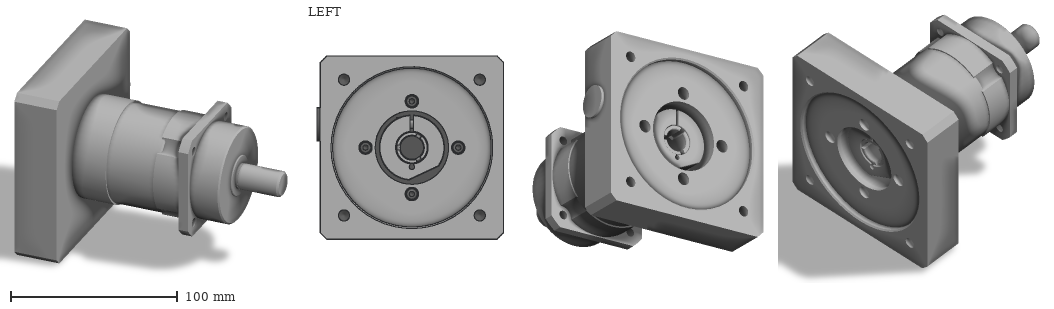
import cadquery as cq
import math


plate_thickness = 27.6
rear_band_end = 49.6
body_end = 83.0
front_ring_start = 80.6
flange_start = 97.5
flange_end = 103.8
pilot_end = 122.8
seal_end = 123.7
shaft_collar_end = 125.1
shaft_start = 125.7
shaft_end = 151.8

band_diameter = 63.9
body_diameter = 62.0
pilot_diameter = 60.0
seal_diameter = 25.5
shaft_diameter = 16.0
shaft_groove_diameter = 15.3
body_chamfer = 0.9
pilot_chamfer = 0.9
seal_chamfer = 0.5
shaft_chamfer = 1.2

plate_side = 110.0
plate_corner_chamfer = 4.1
motor_pilot_diameter = 95.2
motor_pilot_depth = 4.0
motor_pilot_chamfer = 0.9
motor_hole_pitch = 81.4
motor_hole_diameter = 6.7
motor_hole_depth = 18.2
drill_tip_angle = 118.0

screw_circle_radius = 27.8
screw_hole_diameter = 8.0
screw_hole_end = 19.7
screw_head_diameter = 7.6
screw_head_height = 5.0
screw_head_chamfer = 0.6
screw_socket_diameter = 3.2
screw_socket_depth = 2.5

plate_bore_diameter = 44.0
plate_bore_end = plate_thickness
hub_diameter = 39.0
hub_face = 10.6
hub_chamfer = 0.3
hub_flat_distance = 16.8
hub_flat_angle = 65.0
hub_bore_diameter = 19.0
hub_bore_end = 41.0
slit_width = 2.0
relief_hole_offset = 11.5
relief_hole_diameter = 3.2
clamp_screw_x = 17.2
clamp_screw_z = 14.0
clamp_screw_diameter = 5.0
clamp_head_diameter = 8.0
clamp_head_pocket_diameter = 8.5
clamp_head_seat = 4.3
clamp_head_end = 9.3

sleeve_outer_diameter = 18.4
sleeve_face = hub_face + 0.6
sleeve_bore_diameter = 14.0
sleeve_chamfer = 0.5
sleeve_slot_count = 3
sleeve_slot_width = 3.0
sleeve_slot_length = 12.1

access_diameter = 14.0
plug_diameter = 20.0
plug_height = 112.0 - plate_side

flange_side = 65.1
flange_corner_diameter = 83.8
flange_hole_pitch = 48.3
flange_hole_diameter = 5.5
screw_relief_pitch = 51.0
screw_relief_diameter = 14.0


def cylinder(start, end, diameter, y=0.0, z=0.0):
    """Cylinder parallel to X, between two stations."""
    return cq.Workplane("YZ", origin=(start, y, z)).circle(diameter / 2).extrude(end - start)


def block(start, end, size_y, size_z, y=0.0, z=0.0):
    """Box between two stations, centred on (y, z)."""
    return cq.Workplane("YZ", origin=(start, y, z)).rect(size_y, size_z).extrude(end - start)


def clamp_cylinder(start, end, diameter):
    """Cylinder along the clamp screw axis, between two Y positions."""
    plane = cq.Workplane("XZ", origin=(clamp_screw_x, start, clamp_screw_z))
    return plane.circle(diameter / 2).extrude(start - end)


def square_pattern(pitch):
    """The four corners of a square centred on the axis."""
    half = pitch / 2
    return [(y, z) for y in (-half, half) for z in (-half, half)]


def drilled_hole(start, depth, diameter, y, z):
    """Blind hole along +X with a conical drill tip."""
    tip = diameter / 2 / math.tan(math.radians(drill_tip_angle / 2))
    profile = [(0, 0), (depth + tip, 0), (depth, diameter / 2), (0, diameter / 2)]
    return (
        cq.Workplane("XY")
        .polyline(profile)
        .close()
        .revolve(360, (0, 0, 0), (1, 0, 0))
        .translate((start, y, z))
    )


def make_motor_plate():
    plate = block(0, plate_thickness, plate_side, plate_side)
    plate = plate.edges("|X").chamfer(plate_corner_chamfer)
    motor_pilot = cylinder(0, motor_pilot_depth, motor_pilot_diameter)
    plate = plate.cut(motor_pilot)
    rim = cq.selectors.RadiusNthSelector(0)
    plate = plate.faces("<X").edges("%CIRCLE").edges(rim).chamfer(motor_pilot_chamfer)
    for y, z in square_pattern(motor_hole_pitch):
        plate = plate.cut(drilled_hole(0, motor_hole_depth, motor_hole_diameter, y, z))
    plate = plate.cut(cylinder(0, plate_bore_end, plate_bore_diameter))
    plate = plate.cut(clamp_cylinder(0, plate_side / 2, access_diameter))
    plug = clamp_cylinder(plate_side / 2, plate_side / 2 + plug_height, plug_diameter)
    return plate.union(plug)


def make_housing():
    rear_band = cylinder(plate_thickness, rear_band_end, band_diameter)
    body = cylinder(plate_thickness, body_end, body_diameter)
    body = body.faces(">X").chamfer(body_chamfer)
    pilot = cylinder(flange_end, pilot_end, pilot_diameter)
    pilot = pilot.faces(">X").chamfer(pilot_chamfer)
    return rear_band.union(make_front_ring()).union(body).union(make_flange()).union(pilot)


def make_front_ring():
    """Ring behind the flange, scooped out around each flange screw."""
    ring = cylinder(front_ring_start, flange_start, band_diameter)
    for y, z in square_pattern(screw_relief_pitch):
        ring = ring.cut(cylinder(front_ring_start, flange_start, screw_relief_diameter, y, z))
    return ring


def make_flange():
    """Square flange with its corners rounded about the axis."""
    flange = block(flange_start, flange_end, flange_side, flange_side)
    flange = flange.intersect(cylinder(flange_start, flange_end, flange_corner_diameter))
    for y, z in square_pattern(flange_hole_pitch):
        flange = flange.cut(cylinder(flange_start, flange_end, flange_hole_diameter, y, z))
    return flange


def make_output_shaft():
    seal = cylinder(pilot_end, seal_end, seal_diameter).faces(">X").chamfer(seal_chamfer)
    collar = cylinder(seal_end, shaft_collar_end, shaft_diameter)
    groove = cylinder(shaft_collar_end, shaft_start, shaft_groove_diameter)
    shaft = cylinder(shaft_start, shaft_end, shaft_diameter)
    shaft = shaft.faces(">X").chamfer(shaft_chamfer)
    return seal.union(collar).union(groove).union(shaft)


def make_clamp_hub():
    hub = cylinder(hub_face, plate_bore_end, hub_diameter)
    flat = block(hub_face, plate_bore_end, hub_diameter, hub_diameter,
                 y=-hub_flat_distance - hub_diameter / 2)
    hub = hub.cut(flat.rotate((0, 0, 0), (1, 0, 0), hub_flat_angle))
    hub = hub.cut(cylinder(hub_face, plate_bore_end, hub_bore_diameter))
    hub = hub.faces("<X").edges().chamfer(hub_chamfer)
    hub = hub.cut(block(hub_face, plate_bore_end, slit_width, hub_diameter / 2, z=hub_diameter / 4))
    hub = hub.cut(block(hub_face, plate_bore_end, slit_width, relief_hole_offset,
                        z=-relief_hole_offset / 2))
    hub = hub.cut(cylinder(hub_face, plate_bore_end, relief_hole_diameter, z=-relief_hole_offset))
    hub = hub.cut(clamp_cylinder(clamp_head_seat, hub_diameter / 2, clamp_head_pocket_diameter))
    screw_shank = clamp_cylinder(-slit_width, clamp_head_seat, clamp_screw_diameter)
    screw_head = clamp_cylinder(clamp_head_seat, clamp_head_end, clamp_head_diameter)
    return hub.union(screw_shank).union(screw_head)


def make_sleeve():
    """Sleeve with radial slots, the first at +Y."""
    sleeve = cylinder(sleeve_face, hub_bore_end, sleeve_outer_diameter)
    sleeve = sleeve.cut(cylinder(sleeve_face, hub_bore_end, sleeve_bore_diameter))
    sleeve = sleeve.faces("<X").edges(cq.selectors.RadiusNthSelector(0)).chamfer(sleeve_chamfer)
    slot = block(sleeve_face, sleeve_face + sleeve_slot_length,
                 sleeve_outer_diameter / 2, sleeve_slot_width, y=sleeve_outer_diameter / 4)
    for index in range(sleeve_slot_count):
        sleeve = sleeve.cut(slot.rotate((0, 0, 0), (1, 0, 0), index * 360 / sleeve_slot_count))
    return sleeve


def add_plate_screws(part):
    """Blind holes with a socket head screw at the bottom of each."""
    head_face = screw_hole_end - screw_head_height
    for quarter in range(4):
        angle = math.radians(90 * quarter)
        y = screw_circle_radius * math.cos(angle)
        z = screw_circle_radius * math.sin(angle)
        head = cylinder(head_face, screw_hole_end, screw_head_diameter, y, z)
        head = head.faces("<X").chamfer(screw_head_chamfer)
        head = head.cut(drilled_hole(head_face, screw_socket_depth, screw_socket_diameter, y, z))
        part = part.cut(cylinder(0, screw_hole_end, screw_hole_diameter, y, z)).union(head)
    return part


gearbox = make_motor_plate().union(make_housing()).union(make_output_shaft())
gearbox = gearbox.cut(cylinder(hub_face, hub_bore_end, hub_bore_diameter))
gearbox = gearbox.union(make_clamp_hub())
gearbox = gearbox.union(make_sleeve())
result = add_plate_screws(gearbox)